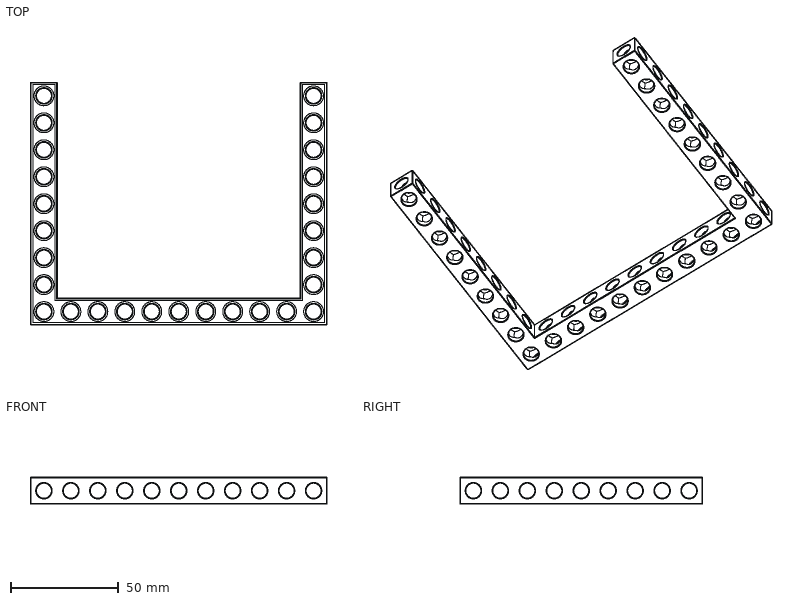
import cadquery as cq

pitch = 12.5
columns = 11
rows = 9

beam = pitch
width = columns * pitch
length = rows * pitch
top = beam / 2
inner_half_width = width / 2 - beam
web_inner_y = -length / 2 + beam

bore_diameter = 7.0
edge_chamfer = 0.3

recess_depth = 0.2
lip_width = 1.1
lip_diameter = bore_diameter + 2 * lip_width

column_x = [(column - (columns - 1) / 2) * pitch for column in range(columns)]
row_y = [(row - (rows - 1) / 2) * pitch for row in range(rows)]
arm_x = [column_x[0], column_x[-1]]


def u_prism(inset, bottom_z, top_z):
    """Upright U-shaped prism, its outline moved inwards by the inset."""
    outer = width / 2 - inset
    inner = inner_half_width + inset
    front = -length / 2 + inset
    back = length / 2 - inset
    web = web_inner_y - inset
    outline = [
        (-outer, front),
        (outer, front),
        (outer, back),
        (inner, back),
        (inner, web),
        (-inner, web),
        (-inner, back),
        (-outer, back),
    ]
    return cq.Workplane("XY", origin=(0, 0, bottom_z)).polyline(outline).close().extrude(top_z - bottom_z)


def chamfered_frame():
    """Solid U with every convex edge chamfered; the two inner corners stay sharp."""
    inner_corners = cq.selectors.BoxSelector(
        (-inner_half_width - edge_chamfer, web_inner_y - edge_chamfer, -edge_chamfer),
        (inner_half_width + edge_chamfer, web_inner_y + edge_chamfer, edge_chamfer),
    )
    outer_corners = cq.selectors.StringSyntaxSelector("|Z") - inner_corners
    frame = u_prism(0, -top, top).edges(outer_corners).chamfer(edge_chamfer)
    return frame.faces("<Z or >Z").edges().chamfer(edge_chamfer)


def bore(start_point, end_point):
    """Cutter for a straight bore between two points with a chamfer at both mouths."""
    start = cq.Vector(*start_point)
    end = cq.Vector(*end_point)
    axis = (end - start).normalized()
    radius = bore_diameter / 2
    mouth = radius + edge_chamfer
    cutter = cq.Solid.makeCylinder(radius, (end - start).Length, start, axis)
    first_mouth = cq.Solid.makeCone(mouth, radius, edge_chamfer, start, axis)
    last_mouth = cq.Solid.makeCone(mouth, radius, edge_chamfer, end, -axis)
    return cutter.fuse(first_mouth, last_mouth)


def vertical_centres():
    """Grid cells of the web, then those of the two arms behind it."""
    web = [(x, row_y[0]) for x in column_x]
    arms = [(x, y) for x in arm_x for y in row_y[1:]]
    return web + arms


def vertical_bores():
    return [bore((x, y, -top), (x, y, top)) for x, y in vertical_centres()]


def bores_along_x():
    """One bore through the whole web, then a bore through each arm in every further row."""
    cutters = [bore((-width / 2, row_y[0], 0), (width / 2, row_y[0], 0))]
    for y in row_y[1:]:
        for x in arm_x:
            cutters.append(bore((x - beam / 2, y, 0), (x + beam / 2, y, 0)))
    return cutters


def bores_along_y():
    """A bore along each arm, and one through the web in every column between them."""
    cutters = []
    for x in column_x:
        end_y = length / 2 if x in arm_x else web_inner_y
        cutters.append(bore((x, -length / 2, 0), (x, end_y, 0)))
    return cutters


def top_recess():
    """Recess cutter with the lips around the vertical bores left out."""
    floor_z = top - recess_depth
    lips = (
        cq.Workplane("XY", origin=(0, 0, floor_z))
        .pushPoints(vertical_centres())
        .circle(lip_diameter / 2)
        .extrude(recess_depth)
    )
    return u_prism(lip_width, floor_z, top).cut(lips)


blank = chamfered_frame().cut(top_recess())
bore_cutters = vertical_bores() + bores_along_x() + bores_along_y()
result = cq.Workplane(blank.val().cut(*bore_cutters)).solids()